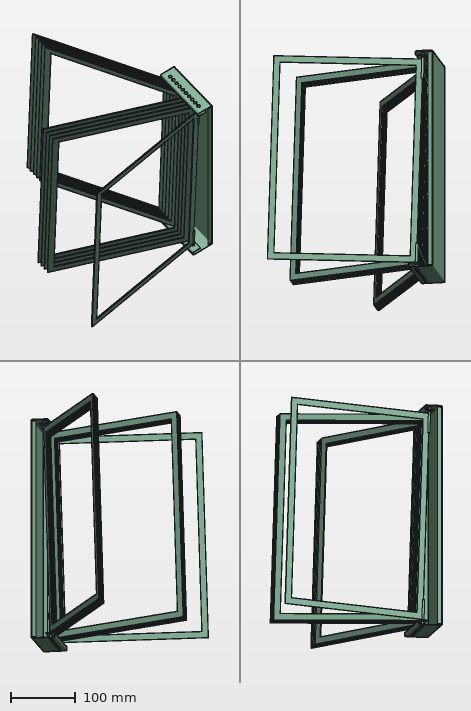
import cadquery as cq
import math


bracket_width = 96.2
bracket_height = 346.0
sheet = 1.0
bend_radius = 2.8
side_bend_radius = 1.7
top_depth = 27.7
bottom_depth = 38.0
lip_height = 8.0
lip_depth = 14.5
side_depth = 7.3

swings = [60] * 5 + [20] * 4 + [-10]
panel_count = len(swings)

hinge_span = 72.0
hinge_pitch = hinge_span / (panel_count - 1)
hinge_positions = [i * hinge_pitch - hinge_span / 2 for i in range(panel_count)]
hinge_depth = 23.2
lean = 1.8
pin_diameter = 4.0
pin_reach = 41.5
pin_hole_diameter = 5.0

panel_length = 229.7
panel_height = 324.5
panel_thickness = 2.0
frame_border = 10.0


def toward(start, end, distance):
    """Point at the given distance from start on the line to end."""
    share = distance / math.dist(start, end)
    return tuple(s + (e - s) * share for s, e in zip(start, end))


def make_profile(plane, outer_radius, corners):
    """Sheet outline around an open midline, bent at every corner between its two ends."""
    radius = outer_radius - sheet / 2
    path = cq.Workplane(plane).moveTo(*corners[0])
    for before, corner, after in zip(corners, corners[1:], corners[2:]):
        path = path.lineTo(*toward(corner, before, radius))
        path = path.tangentArcPoint(toward(corner, after, radius), relative=False)
    return path.lineTo(*corners[-1]).offset2D(sheet / 2)


def make_bracket():
    """Channel with hemmed top and bottom flanges, joined to a back with two side flanges."""
    half = sheet / 2
    top = bracket_height / 2 - half
    lip_top = bracket_height / 2 - lip_height + half
    back = -half
    top_front = -top_depth + half
    bottom_front = -bottom_depth + half
    channel = make_profile("YZ", bend_radius, [
        (-top_depth + lip_depth, lip_top),
        (top_front, lip_top),
        (top_front, top),
        (back, top),
        (back, -top),
        (bottom_front, -top),
        (bottom_front, -lip_top),
        (-bottom_depth + lip_depth, -lip_top),
    ]).extrude(bracket_width / 2, both=True)

    side = bracket_width / 2 - half
    tray = make_profile("XY", side_bend_radius, [
        (-side, -side_depth),
        (-side, back),
        (side, back),
        (side, -side_depth),
    ]).extrude(bracket_height / 2 - bend_radius, both=True)
    return channel.union(tray)


def make_pin_holes():
    """Cutters for the clearance holes around the pin ends in the two flanges."""
    flange_z = bracket_height / 2 - sheet / 2
    holes = cq.Workplane("XY")
    for z in (flange_z, -flange_z):
        depth = hinge_depth - z * math.tan(math.radians(lean))
        centers = [(x, -depth) for x in hinge_positions]
        flange_holes = cq.Workplane("XY").pushPoints(centers).circle(pin_hole_diameter / 2)
        holes = holes.add(flange_holes.extrude(sheet, both=True).translate((0, 0, z)))
    return holes.combine()


def make_panel(swing):
    """Frame and its two pins, with the hinge axis on Z, turned outward by its swing."""
    opening_length = panel_length - 2 * frame_border
    opening_height = panel_height - 2 * frame_border
    frame = (
        cq.Workplane("YZ")
        .center(-panel_length / 2, 0)
        .rect(panel_length, panel_height)
        .rect(opening_length, opening_height)
        .extrude(panel_thickness / 2, both=True)
    )

    pin_start = bracket_height / 2 - pin_reach
    pin_end = (bracket_height - sheet) / 2
    pin = cq.Workplane("XY").workplane(offset=pin_start).circle(pin_diameter / 2)
    pin = pin.extrude(pin_end - pin_start)
    panel = frame.union(pin).union(pin.mirror("XY"))
    return panel.rotate((0, 0, 0), (0, 0, 1), -swing)


result = make_bracket().cut(make_pin_holes())
for x, swing in zip(hinge_positions, swings):
    leaning_panel = make_panel(swing).rotate((0, 0, 0), (1, 0, 0), -lean)
    result = result.union(leaning_panel.translate((x, -hinge_depth, 0)))